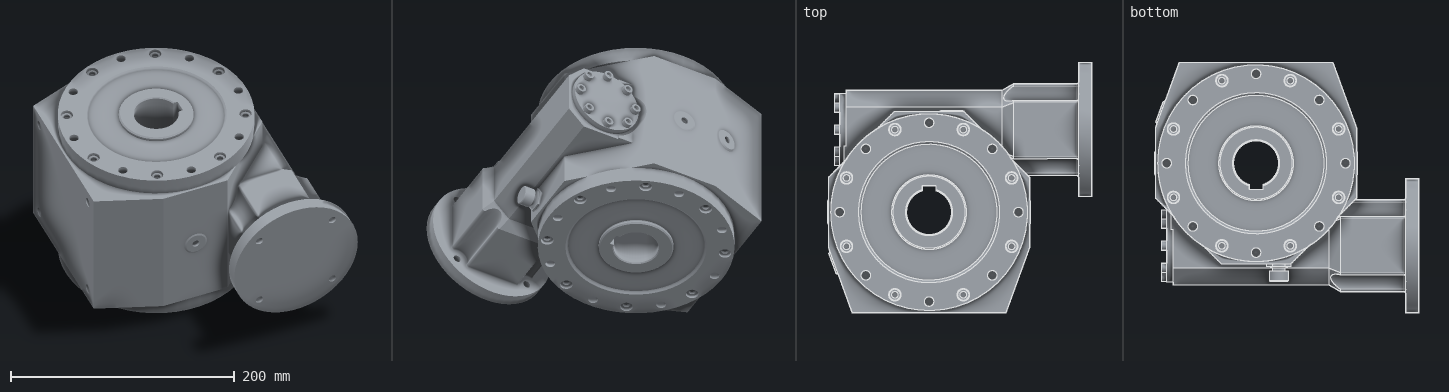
import cadquery as cq
import math


HOUSING_HALF = 90.0
HOUSING_HALF_HEIGHT = 65.0
BACK_CORNER = 31.0
FRONT_CORNER_Y = -31.5
FRONT_HALF_WIDTH = 68.8
FOOT_HOLE_X = 55.0
FOOT_HOLE_Z = 52.5
FOOT_HOLE_DEPTH = 15.4
HOLE_DIAMETER = 8.5
DRILL_TIP_ANGLE = 118

COVER_DIAMETER = 176.0
COVER_Z = 80.5
RECESS_DIAMETER = 126.3
RECESS_DEPTH = 2.1
RECESS_TAPER = 2.4
COVER_BOLT_RADIUS = 80.0
COUNTERBORE_DIAMETER = 11.0
COUNTERBORE_DEPTH = 8.3
COVER_SCREW_DIAMETER = 10.0
COVER_SCREW_SINK = 2.4
COVER_SOCKET_DIAMETER = 6.0
SOCKET_DEPTH = 2.8
BOLT_COUNT = 8

TOTAL_HEIGHT = 164.0
HUB_DIAMETER = 67.0
HUB_CHAMFER = 1.2
BORE_DIAMETER = 40.2
BORE_CHAMFER = 1.0
KEYWAY_WIDTH = 12.0
KEYWAY_TOP_Y = 23.5

WORM_Y = 73.8
WORM_HALF = 35.2
WORM_FLAT_HALF = 20.0
WORM_LEFT_X = -74.3
WORM_RIGHT_X = 65.3
PAD_X = -76.2
PAD_TOP_Y = 59.4
PAD_CLEARANCE_RADIUS = 35.5
CORNER_CLEARANCE_RADIUS = 38.8

CAP_DIAMETER = 65.0
CAP_X = -80.0
CAP_BOLT_RADIUS = 28.0
CAP_SCREW_DIAMETER = 8.5
CAP_SCREW_X = -84.7
CAP_SOCKET_DIAMETER = 5.0

FLANGE_DIAMETER = 120.1
FLANGE_LEFT_X = 133.6
FLANGE_RIGHT_X = 145.7
FLANGE_HOLE_DIAMETER = 7
FLANGE_HOLE_OFFSET = 35.5
ADAPTER_LEFT_X = 75.7
ADAPTER_HALF = 41.2
NOTCH_DIAMETER = 20.0
ADAPTER_EDGE_RADIUS = 2.0
ADAPTER_ROOT_RADIUS = 1.5

PLUG_DIAMETER = 22.0
PLUG_TOP_DIAMETER = 19
PLUG_SOCKET_DIAMETER = 6.9
PLUG_HEIGHT = 0.7
RAISED_PLUG_HEIGHT = 1.54
RAISED_PLUG_Y = -45.5
BACK_PLUG_X = 20.3
BACK_PLUG_Z = 47.3
BREATHER_HEX_WIDTH = 19
BREATHER_HEX_HEIGHT = 2.1
BREATHER_SHOULDER_HEIGHT = 1.5
BREATHER_NECK_DIAMETER = 11.0
BREATHER_CAP_DIAMETER = 17.0
BREATHER_CAP_BOTTOM = 6.1
BREATHER_TOP = 15.5
BREATHER_CHAMFER = 0.7


def rod(start, direction, diameter, length):
    """Cylinder from a start point along a direction."""
    return cq.Workplane(cq.Solid.makeCylinder(
        diameter / 2, length, cq.Vector(*start), cq.Vector(*direction)))


def cone(start, direction, diameter, end_diameter, length):
    """Truncated cone from a start point along a direction."""
    return cq.Workplane(cq.Solid.makeCone(
        diameter / 2, end_diameter / 2, length, cq.Vector(*start), cq.Vector(*direction)))


def drilled_hole(start, direction, diameter, depth):
    """Blind hole with a conical drill tip."""
    tip_length = diameter / 2 / math.tan(math.radians(DRILL_TIP_ANGLE / 2))
    unit = cq.Vector(*direction).normalized()
    tip_start = cq.Vector(*start) + unit * depth
    tip = cone(tip_start.toTuple(), direction, diameter, 0, tip_length)
    return rod(start, direction, diameter, depth).union(tip)


def circle_points(radius, count, start_angle=0):
    """Evenly spaced points on a circle."""
    angles = [math.radians(start_angle + 360 * i / count) for i in range(count)]
    return [(radius * math.cos(a), radius * math.sin(a)) for a in angles]


def along_x(x):
    """Sketch plane square to the worm shaft: local x is Y, local y is Z."""
    return cq.Workplane("YZ", origin=(x, WORM_Y, 0))


def octagon(half, flat_half):
    """Corner points of a square with its four corners cut off."""
    return [
        (half, -flat_half), (half, flat_half), (flat_half, half), (-flat_half, half),
        (-half, flat_half), (-half, -flat_half), (-flat_half, -half), (flat_half, -half),
    ]


def main_housing():
    left_half = [
        (-BACK_CORNER, HOUSING_HALF),
        (-HOUSING_HALF, BACK_CORNER),
        (-HOUSING_HALF, FRONT_CORNER_Y),
        (-FRONT_HALF_WIDTH, -HOUSING_HALF),
    ]
    right_half = [(-x, y) for x, y in reversed(left_half)]
    body = (
        cq.Workplane("XY", origin=(0, 0, -HOUSING_HALF_HEIGHT))
        .polyline(left_half + right_half).close()
        .extrude(2 * HOUSING_HALF_HEIGHT)
    )
    for x in (-FOOT_HOLE_X, FOOT_HOLE_X):
        for z in (-FOOT_HOLE_Z, FOOT_HOLE_Z):
            start = (x, -HOUSING_HALF, z)
            body = body.cut(drilled_hole(start, (0, 1, 0), HOLE_DIAMETER, FOOT_HOLE_DEPTH))
    return body


def top_cover():
    """Round cover with a shallow recess, threaded holes and sunk cap screws."""
    down = (0, 0, -1)
    cover = rod((0, 0, COVER_Z), down, COVER_DIAMETER, COVER_Z - HOUSING_HALF_HEIGHT)
    floor_diameter = RECESS_DIAMETER - 2 * RECESS_TAPER
    cover = cover.cut(cone((0, 0, COVER_Z), down, RECESS_DIAMETER, floor_diameter, RECESS_DEPTH))
    for x, y in circle_points(COVER_BOLT_RADIUS, BOLT_COUNT):
        cover = cover.cut(rod((x, y, COVER_Z), down, HOLE_DIAMETER, COVER_Z - HOUSING_HALF_HEIGHT))
    head_z = COVER_Z - COVER_SCREW_SINK
    head_height = COUNTERBORE_DEPTH - COVER_SCREW_SINK
    for x, y in circle_points(COVER_BOLT_RADIUS, BOLT_COUNT, 180 / BOLT_COUNT):
        counterbore = rod((x, y, COVER_Z), down, COUNTERBORE_DIAMETER, COUNTERBORE_DEPTH)
        head = rod((x, y, head_z), down, COVER_SCREW_DIAMETER, head_height)
        socket = rod((x, y, head_z), down, COVER_SOCKET_DIAMETER, SOCKET_DEPTH)
        cover = cover.cut(counterbore.cut(head)).cut(socket)
    return cover


def worm_housing():
    """Box around the worm with chamfered back edges and a pad beside the cap."""
    profile = [
        (-WORM_HALF, -WORM_HALF), (WORM_FLAT_HALF, -WORM_HALF), (WORM_HALF, -WORM_FLAT_HALF),
        (WORM_HALF, WORM_FLAT_HALF), (WORM_FLAT_HALF, WORM_HALF), (-WORM_HALF, WORM_HALF),
    ]
    box = along_x(WORM_LEFT_X).polyline(profile).close().extrude(WORM_RIGHT_X - WORM_LEFT_X)
    pad_bottom_y = WORM_Y - WORM_HALF
    pad = cq.Workplane("XY").box(
        WORM_LEFT_X - PAD_X, PAD_TOP_Y - pad_bottom_y, 2 * WORM_HALF, centered=False
    ).translate((PAD_X, pad_bottom_y, -WORM_HALF))
    return box.union(pad)


def cap_clearance():
    """Round pocket around the cap, flaring outwards where it cuts the housing corner."""
    start = (WORM_LEFT_X, WORM_Y, 0)
    flare_length = HOUSING_HALF + WORM_LEFT_X
    return cone(start, (-1, 0, 0), 2 * PAD_CLEARANCE_RADIUS, 2 * CORNER_CLEARANCE_RADIUS, flare_length)


def worm_cap():
    outward = (-1, 0, 0)
    cap = rod((WORM_LEFT_X, WORM_Y, 0), outward, CAP_DIAMETER, WORM_LEFT_X - CAP_X)
    for y, z in circle_points(CAP_BOLT_RADIUS, BOLT_COUNT):
        position = (WORM_Y + y, z)
        cap = cap.union(rod((CAP_X, *position), outward, CAP_SCREW_DIAMETER, CAP_X - CAP_SCREW_X))
        cap = cap.cut(rod((CAP_SCREW_X, *position), (1, 0, 0), CAP_SOCKET_DIAMETER, SOCKET_DEPTH))
    return cap


def motor_adapter():
    """Tapered transition, square neck with round notches and the motor flange."""
    notch_radius = NOTCH_DIAMETER / 2
    round_reach = notch_radius + ADAPTER_EDGE_RADIUS
    round_depth = ADAPTER_HALF - ADAPTER_EDGE_RADIUS - FLANGE_HOLE_OFFSET
    neck_flat_half = FLANGE_HOLE_OFFSET - math.sqrt(round_reach**2 - round_depth**2)
    corners = [(sy * FLANGE_HOLE_OFFSET, sz * FLANGE_HOLE_OFFSET) for sy in (-1, 1) for sz in (-1, 1)]

    neck_length = FLANGE_LEFT_X - ADAPTER_LEFT_X
    taper_length = ADAPTER_LEFT_X - WORM_RIGHT_X
    notches = (
        along_x(WORM_RIGHT_X).pushPoints(corners)
        .circle(notch_radius).extrude(neck_length + taper_length)
    )
    neck_outline = octagon(ADAPTER_HALF, neck_flat_half)
    taper = (
        along_x(WORM_RIGHT_X).polyline(octagon(WORM_HALF, WORM_FLAT_HALF)).close()
        .workplane(offset=taper_length).polyline(neck_outline).close()
        .loft(ruled=True)
    )
    neck = (
        along_x(ADAPTER_LEFT_X).rect(2 * ADAPTER_HALF, 2 * ADAPTER_HALF).extrude(neck_length)
        .cut(notches)
        .edges("|X").fillet(ADAPTER_EDGE_RADIUS)
    )
    flange = along_x(FLANGE_LEFT_X).circle(FLANGE_DIAMETER / 2).extrude(FLANGE_RIGHT_X - FLANGE_LEFT_X)
    margin = 0.2
    joint = cq.selectors.BoxSelector(
        (FLANGE_LEFT_X - margin, WORM_Y - ADAPTER_HALF - margin, -ADAPTER_HALF - margin),
        (FLANGE_LEFT_X + margin, WORM_Y + ADAPTER_HALF + margin, ADAPTER_HALF + margin),
        boundingbox=True,
    )
    neck = neck.union(flange).edges(joint).fillet(ADAPTER_ROOT_RADIUS)
    flange_holes = (
        along_x(FLANGE_LEFT_X).pushPoints(corners)
        .circle(FLANGE_HOLE_DIAMETER / 2).extrude(FLANGE_RIGHT_X - FLANGE_LEFT_X)
    )
    return neck.union(taper.cut(notches)).cut(flange_holes)


def add_plug(body, seat, direction, height):
    """Screw plug with a bevelled rim and a round socket."""
    outward = cq.Vector(*direction).normalized()
    top = cq.Vector(*seat) + outward * height
    plug = cone(seat, direction, PLUG_DIAMETER, PLUG_TOP_DIAMETER, height)
    socket = rod(top.toTuple(), (outward * -1).toTuple(), PLUG_SOCKET_DIAMETER, SOCKET_DEPTH)
    return body.union(plug).cut(socket)


def breather():
    """Breather valve standing on the back face of the housing."""
    back = cq.Workplane("XZ", origin=(BACK_PLUG_X, HOUSING_HALF, -BACK_PLUG_Z))
    hex_circumscribed = BREATHER_HEX_WIDTH / math.cos(math.pi / 6)
    hexagon = back.polygon(6, hex_circumscribed).extrude(-BREATHER_HEX_HEIGHT)
    shoulder = cone(
        (BACK_PLUG_X, HOUSING_HALF + BREATHER_HEX_HEIGHT, -BACK_PLUG_Z), (0, 1, 0),
        BREATHER_CAP_DIAMETER, BREATHER_NECK_DIAMETER, BREATHER_SHOULDER_HEIGHT)
    neck = back.circle(BREATHER_NECK_DIAMETER / 2).extrude(-BREATHER_TOP)
    cap = (
        back.workplane(offset=-BREATHER_CAP_BOTTOM)
        .circle(BREATHER_CAP_DIAMETER / 2).extrude(BREATHER_CAP_BOTTOM - BREATHER_TOP)
        .faces(">Y").edges().chamfer(BREATHER_CHAMFER)
    )
    return hexagon.union(shoulder).union(neck).union(cap)


def output_shaft():
    return (
        rod((0, 0, -TOTAL_HEIGHT / 2), (0, 0, 1), HUB_DIAMETER, TOTAL_HEIGHT)
        .faces("<Z or >Z").edges().chamfer(HUB_CHAMFER)
    )


def keyed_bore():
    """Through bore with chamfered ends and a keyway towards +Y."""
    bore = rod((0, 0, -TOTAL_HEIGHT / 2), (0, 0, 1), BORE_DIAMETER, TOTAL_HEIGHT)
    for side in (-1, 1):
        bore = bore.union(cone(
            (0, 0, side * TOTAL_HEIGHT / 2), (0, 0, -side),
            BORE_DIAMETER + 2 * BORE_CHAMFER, BORE_DIAMETER, BORE_CHAMFER))
    keyway = cq.Workplane("XY").box(
        KEYWAY_WIDTH, KEYWAY_TOP_Y, TOTAL_HEIGHT, centered=(True, False, True))
    return bore.union(keyway)


cover = top_cover()
result = main_housing().union(worm_housing()).cut(cap_clearance())
result = result.union(cover).union(cover.mirror("XY"))
result = result.union(worm_cap()).union(motor_adapter()).union(breather())
result = result.union(output_shaft()).cut(keyed_bore())

for side in (-1, 1):
    result = add_plug(result, (side * HOUSING_HALF, 0, 0), (side, 0, 0), PLUG_HEIGHT)
result = add_plug(result, (BACK_PLUG_X, HOUSING_HALF, BACK_PLUG_Z), (0, 1, 0), PLUG_HEIGHT)
slant_run = HOUSING_HALF - FRONT_HALF_WIDTH
slant_drop = HOUSING_HALF + FRONT_CORNER_Y
slant_plug_x = -HOUSING_HALF + slant_run * (FRONT_CORNER_Y - RAISED_PLUG_Y) / slant_drop
result = add_plug(
    result, (slant_plug_x, RAISED_PLUG_Y, 0), (-slant_drop, -slant_run, 0), RAISED_PLUG_HEIGHT)